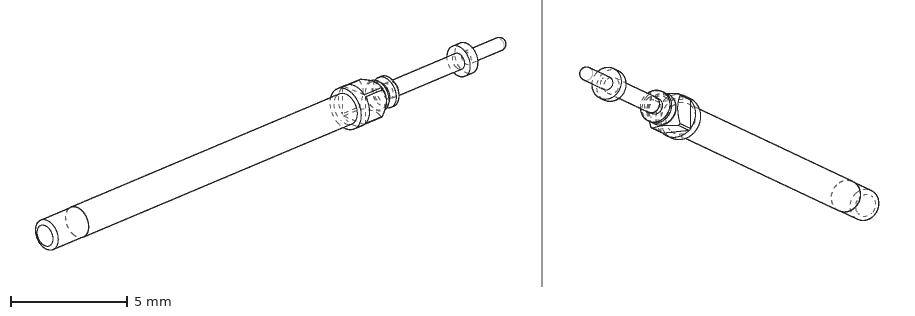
import cadquery as cq

total_length = 28.2
head_diameter = 1.9

tip_diameter = 0.6
plunger_diameter = 0.73
collar_diameter = 1.4
collar_start = 2.3
collar_width = 0.48
neck_diameter = 0.7
neck_start = 6.85

barrel_diameter = 1.4
barrel_start = 7.15
lip_width = 0.17
groove_depth = 0.17
groove_width = 0.45
relief_width = 0.08
square_chamfer = 0.3
head_start = 9.22
head_width = 0.5
end_section_diameter = 1.38
end_section_length = 1.97
end_face_diameter = 0.95
end_taper_length = 0.1

tip_y = total_length / 2
rear_y = -total_length / 2
groove_start = barrel_start + lip_width
groove_end = groove_start + groove_width
square_start = groove_end + relief_width
square_chamfer_radius = head_diameter / 2 - square_chamfer


def from_tip(distance):
    """Y position at a given distance behind the plunger tip."""
    return tip_y - distance


def plane_at(distance):
    """Workplane across the pin axis, its normal pointing rearwards."""
    return cq.Workplane("XZ", origin=(0, from_tip(distance), 0))


def disc(diameter, start, length):
    """Cylinder on the pin axis, running rearwards from a distance behind the tip."""
    return plane_at(start).circle(diameter / 2).extrude(length)


def turned(points):
    """Solid of revolution about the Y axis from (radius, y) points."""
    return cq.Workplane("XY").polyline(points).close().revolve(360, (0, 0, 0), (0, 1, 0))


def make_plunger():
    """Stepped shaft with a hemispherical tip, a collar and a slightly thinner neck."""
    tip_radius = tip_diameter / 2
    plunger_radius = plunger_diameter / 2
    neck_radius = neck_diameter / 2
    nose_y = from_tip(tip_radius)
    step_y = from_tip(collar_start + collar_width / 2)
    neck_y = from_tip(neck_start)
    root_y = from_tip(head_start)
    shaft = turned([
        (0, nose_y),
        (tip_radius, nose_y),
        (tip_radius, step_y),
        (plunger_radius, step_y),
        (plunger_radius, neck_y),
        (neck_radius, neck_y),
        (neck_radius, root_y),
        (0, root_y),
    ])
    nose = cq.Workplane("XY", origin=(0, nose_y, 0)).sphere(tip_radius)
    return shaft.union(nose).union(disc(collar_diameter, collar_start, collar_width))


def make_barrel():
    """Long barrel with a front lip, a V groove, a relief and a slightly thinner, tapered rear end."""
    radius = barrel_diameter / 2
    end_radius = end_section_diameter / 2
    end_section_y = rear_y + end_section_length
    relief_y = from_tip(square_start)
    head_y = from_tip(head_start)
    return turned([
        (0, from_tip(barrel_start)),
        (radius, from_tip(barrel_start)),
        (radius, from_tip(groove_start)),
        (radius - groove_depth, from_tip(groove_start + groove_width / 2)),
        (radius, from_tip(groove_end)),
        (square_chamfer_radius, relief_y),
        (square_chamfer_radius, head_y),
        (radius, head_y),
        (radius, end_section_y),
        (end_radius, end_section_y),
        (end_radius, rear_y + end_taper_length),
        (end_face_diameter / 2, rear_y),
        (0, rear_y),
    ])


def make_square():
    """Square key whose corners are turned to the head diameter and chamfered at the front."""
    length = head_start - square_start
    square = plane_at(square_start).rect(barrel_diameter, barrel_diameter).extrude(length)
    envelope = disc(head_diameter, square_start, length).faces(">Y").chamfer(square_chamfer)
    return square.intersect(envelope)


head = disc(head_diameter, head_start, head_width)
result = make_plunger().union(make_barrel()).union(make_square()).union(head)